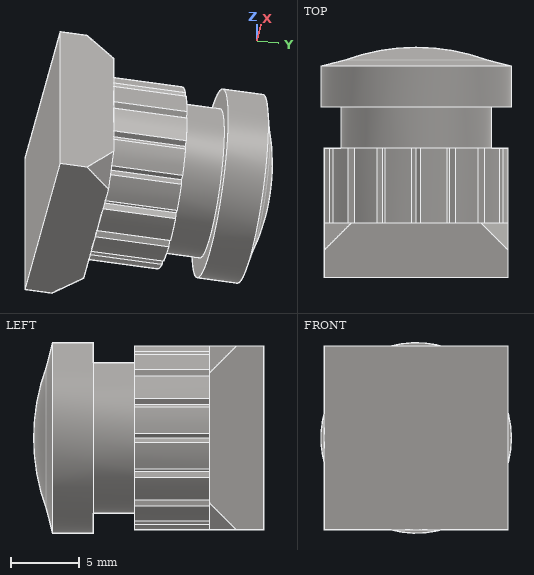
import cadquery as cq
import math

total_length = 16.9
base_thickness = 4.0
fluted_length = 5.5
neck_length = 3.0
rim_length = 3.0

base_side = 13.5
corner_cut = 2.0
fluted_radius = base_side / 2
neck_radius = 5.53
head_radius = 7.0
cap_radius = 5.2
cap_height = 0.93

groove_count = 16
groove_half_width = 0.34
groove_depth = 0.34

fluted_end = base_thickness + fluted_length
neck_end = fluted_end + neck_length
rim_end = neck_end + rim_length


def make_base():
    """Square block with its four rear corners cut off obliquely."""
    half = base_side / 2
    block = cq.Workplane("XY").box(base_side, base_thickness, base_side)
    block = block.translate((0, base_thickness / 2, 0))
    for x_sign in (-1, 1):
        for z_sign in (-1, 1):
            block = block.cut(make_corner(x_sign * half, z_sign * half, x_sign, z_sign))
    return block


def make_corner(x, z, x_sign, z_sign):
    """Tetrahedron with equal legs along the three edges of a rear corner."""
    corner = cq.Vector(x, base_thickness, z)
    along_x = corner - cq.Vector(x_sign * corner_cut, 0, 0)
    along_y = corner - cq.Vector(0, corner_cut, 0)
    along_z = corner - cq.Vector(0, 0, z_sign * corner_cut)
    triangles = (
        (corner, along_x, along_y),
        (corner, along_y, along_z),
        (corner, along_z, along_x),
        (along_x, along_y, along_z),
    )
    faces = [cq.Face.makeFromWires(cq.Wire.makePolygon(t, close=True)) for t in triangles]
    return cq.Workplane(obj=cq.Solid.makeSolid(cq.Shell.makeShell(faces)))


def make_turned_body():
    """Fluted blank, neck and head with a shallow cone and spherical cap, revolved about the Y axis."""
    sphere_radius = (cap_radius**2 + cap_height**2) / (2 * cap_height)
    mid_x = cap_radius / 2
    mid_y = total_length - sphere_radius + math.sqrt(sphere_radius**2 - mid_x**2)
    return (
        cq.Workplane("XY")
        .moveTo(0, base_thickness)
        .lineTo(fluted_radius, base_thickness)
        .lineTo(fluted_radius, fluted_end)
        .lineTo(neck_radius, fluted_end)
        .lineTo(neck_radius, neck_end)
        .lineTo(head_radius, neck_end)
        .lineTo(head_radius, rim_end)
        .lineTo(cap_radius, total_length - cap_height)
        .threePointArc((mid_x, mid_y), (0, total_length))
        .close()
        .revolve(360, (0, 0, 0), (0, 1, 0))
    )


def cut_grooves(body):
    """Cut evenly spaced V grooves along the fluted section."""
    outer_scale = 2
    tip = fluted_radius - groove_depth
    outer = tip + outer_scale * groove_depth
    half_width = outer_scale * groove_half_width
    groove = (
        cq.Workplane("XZ", origin=(0, base_thickness, 0))
        .polyline([(0, tip), (half_width, outer), (-half_width, outer)])
        .close()
        .extrude(-fluted_length)
    )
    for i in range(groove_count):
        body = body.cut(groove.rotate((0, 0, 0), (0, 1, 0), i * 360 / groove_count))
    return body


result = make_base().union(cut_grooves(make_turned_body()))